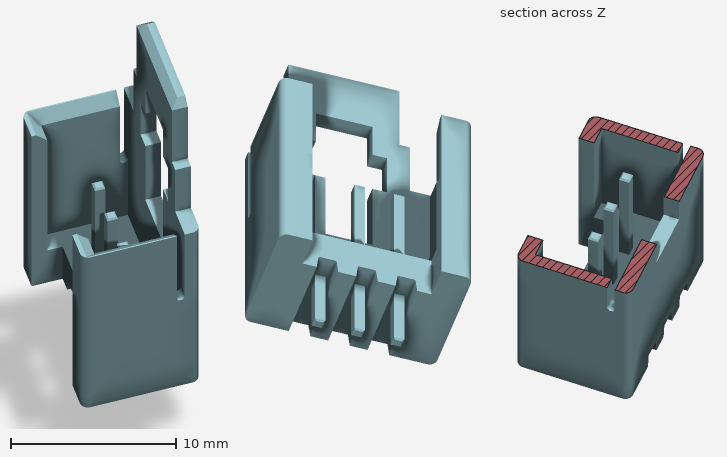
import cadquery as cq

body_width = 12.2
body_depth = 7.5
body_height = 14.07
corner_radius = 0.5
side_wall = 0.8
back_wall = 1.0
front_lip = 1.0
floor_top = 3.0
floor_depth = 5.52
front_opening_width = 8.18
rim_chamfer = 0.7

back_y = body_depth / 2
inner_back_y = back_y - back_wall
inner_front_y = front_lip - back_y
inner_half_width = body_width / 2 - side_wall

slit_width = 0.5
slit_bottom = 8.0

tongue_top = 23.3
shoulder_top = 17.98
tongue_width = 7.08
shoulder_width = 8.4
tongue_chamfer = 0.5

window_bottom = 8.4
window_top = 19.0
window_width = 3.6
window_arm_bottom = 13.45
window_arm_top = 16.5
window_arm_width = 5.5

pin_count = 3
pin_pitch = 2.5
pin_size = 0.65
pin_bottom = -3.1
pin_top = 9.98
pin_tip_chamfer = 0.1
notch_height = 0.95
notch_top_width = 1.14
notch_bottom_width = 1.37

pin_positions = [(i - (pin_count - 1) / 2) * pin_pitch for i in range(pin_count)]


def block(width, y_min, y_max, z_min, z_max):
    """Box centred on X = 0 between the given Y and Z limits."""
    box = cq.Workplane("XY").box(width, y_max - y_min, z_max - z_min, centered=(True, False, False))
    return box.translate((0, y_min, z_min))


def housing():
    body = block(body_width, -back_y, back_y, 0, body_height).edges("|Z").fillet(corner_radius)
    cavity = block(2 * inner_half_width, inner_front_y, inner_back_y, floor_top, body_height)
    front_opening = block(front_opening_width, -back_y, back_y - floor_depth, 0, body_height)
    return body.cut(cavity).cut(front_opening)


def rim_bevel():
    """Flared cutter that bevels the inner top edges of the side walls and front lips."""
    cavity_depth = inner_back_y - inner_front_y
    flare = (
        cq.Workplane("XY", origin=(0, (inner_back_y + inner_front_y) / 2, body_height))
        .rect(2 * (inner_half_width + rim_chamfer), cavity_depth + 2 * rim_chamfer)
        .workplane(offset=-rim_chamfer)
        .rect(2 * inner_half_width, cavity_depth)
        .loft(ruled=True)
    )
    ahead_of_back_wall = block(body_width, -back_y, inner_back_y, 0, body_height)
    return flare.intersect(ahead_of_back_wall)


def relief_slits():
    """Round-bottomed slot across both side walls, along the front of the back wall."""
    radius = slit_width / 2
    return (
        cq.Workplane("YZ")
        .moveTo(inner_back_y, body_height)
        .lineTo(inner_back_y, slit_bottom + radius)
        .threePointArc(
            (inner_back_y - radius, slit_bottom),
            (inner_back_y - slit_width, slit_bottom + radius),
        )
        .lineTo(inner_back_y - slit_width, body_height)
        .close()
        .extrude(body_width / 2, both=True)
    )


def tongue():
    shoulder = block(shoulder_width, inner_back_y, back_y, floor_top, shoulder_top)
    blade = block(tongue_width, inner_back_y, back_y, floor_top, tongue_top)
    blade = blade.faces(">Z").edges("<Y or <X or >X").chamfer(tongue_chamfer)
    return shoulder.union(blade)


def window():
    stem = block(window_width, inner_back_y, back_y, window_bottom, window_top)
    arms = block(window_arm_width, inner_back_y, back_y, window_arm_bottom, window_arm_top)
    return stem.union(arms)


def notch(x):
    """Tapered groove along the full depth of the underside, around one pin."""
    return (
        cq.Workplane("XZ")
        .polyline([
            (x - notch_bottom_width / 2, 0),
            (x - notch_top_width / 2, notch_height),
            (x + notch_top_width / 2, notch_height),
            (x + notch_bottom_width / 2, 0),
        ])
        .close()
        .extrude(body_depth / 2, both=True)
    )


def pin(x):
    shaft = block(pin_size, -pin_size / 2, pin_size / 2, pin_bottom, pin_top)
    return shaft.faces("<Z or >Z").chamfer(pin_tip_chamfer).translate((x, 0, 0))


result = housing().cut(rim_bevel()).cut(relief_slits())
result = result.union(tongue()).cut(window())
for pin_x in pin_positions:
    result = result.cut(notch(pin_x)).union(pin(pin_x))